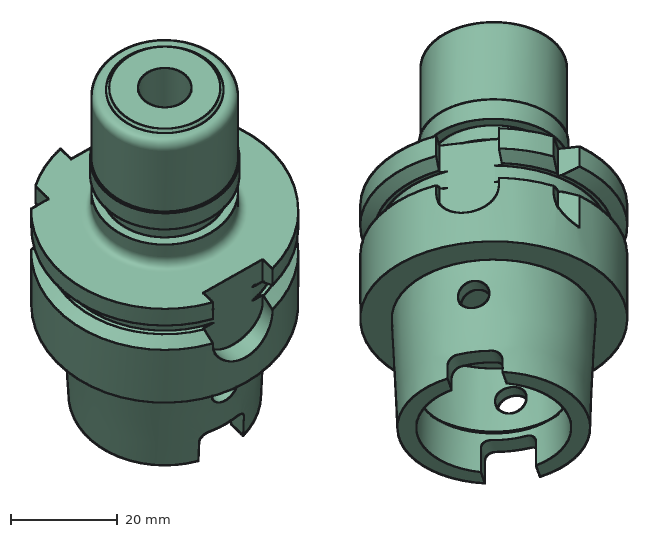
import cadquery as cq
import math

total_height = 85.0
shank_length = 25.0
flange_width = 26.0
flange_top = shank_length + flange_width
neck_fillet = 2.0
neck_bottom = 56.5
collar_bottom = 61.0
collar_top = 65.7
nut_shoulder = 84.4
nut_fillet = 2.0

shank_top_radius = 19.1
shank_end_radius = 18.05
flange_radius = 25.0
body_radius = 13.75
neck_radius = 11.9
collar_radius = 14.0
collet_base_radius = 11.0
collet_top_radius = 10.4

gripper_center = shank_length + 18.0
gripper_width = 3.75
gripper_radius = 21.5
gripper_lip_radius = 22.4
gripper_flank_angle = 30.0

tool_bore_diameter = 10.0
tool_bore_depth = 40.0
mouth_radius = 14.5
chamber_radius = 16.0
mouth_length = 9.0
chamber_top = shank_length

cross_hole_diameter = 6.0
cross_hole_height = 17.5

drive_floor = 21.0
left_slot_width = 12.0
right_slot_width = 14.0
drive_slot_bottom = 32.0
notch_corner = 15.5
notch_width = 12.0

keyway_width = 10.5
keyway_fillet = 2.0
left_keyway_height = 4.7
right_keyway_height = 7.5


def turned_body():
    """Outer shape revolved about Z."""
    half_gripper = gripper_width / 2
    flank_height = (flange_radius - gripper_lip_radius) * math.tan(math.radians(gripper_flank_angle))
    groove_low = gripper_center - half_gripper
    groove_high = gripper_center + half_gripper
    arc_offset = 1 - math.sqrt(0.5)
    neck_arc_radius = body_radius + neck_fillet * arc_offset
    neck_arc_height = flange_top + neck_fillet * arc_offset
    nut_arc_radius = body_radius - nut_fillet * arc_offset
    nut_arc_height = nut_shoulder - nut_fillet * arc_offset

    profile = (
        cq.Workplane("XZ")
        .moveTo(0, 0)
        .lineTo(shank_end_radius, 0)
        .lineTo(shank_top_radius, shank_length)
        .lineTo(flange_radius, shank_length)
        .lineTo(flange_radius, groove_low - flank_height)
        .lineTo(gripper_lip_radius, groove_low)
        .lineTo(gripper_radius, groove_low)
        .lineTo(gripper_radius, groove_high)
        .lineTo(gripper_lip_radius, groove_high)
        .lineTo(flange_radius, groove_high + flank_height)
        .lineTo(flange_radius, flange_top)
        .lineTo(body_radius + neck_fillet, flange_top)
        .threePointArc((neck_arc_radius, neck_arc_height), (body_radius, flange_top + neck_fillet))
        .lineTo(body_radius, neck_bottom)
        .lineTo(neck_radius, neck_bottom)
        .lineTo(neck_radius, collar_bottom)
        .lineTo(collar_radius, collar_bottom)
        .lineTo(collar_radius, collar_top - (collar_radius - body_radius))
        .lineTo(body_radius, collar_top)
        .lineTo(body_radius, nut_shoulder - nut_fillet)
        .threePointArc((nut_arc_radius, nut_arc_height), (body_radius - nut_fillet, nut_shoulder))
        .lineTo(collet_base_radius, nut_shoulder)
        .lineTo(collet_top_radius, total_height)
        .lineTo(0, total_height)
        .close()
    )
    return profile.revolve(360, (0, 0, 0), (0, 1, 0))


def shank_chamber():
    """Hollow of the shank: a narrower mouth opening by a 45 degree cone into the clamping chamber."""
    cone_height = chamber_radius - mouth_radius
    profile = (
        cq.Workplane("XZ")
        .moveTo(0, 0)
        .lineTo(mouth_radius, 0)
        .lineTo(mouth_radius, mouth_length)
        .lineTo(chamber_radius, mouth_length + cone_height)
        .lineTo(chamber_radius, chamber_top)
        .lineTo(0, chamber_top)
        .close()
    )
    return profile.revolve(360, (0, 0, 0), (0, 1, 0))


def tool_bore():
    """Blind bore for the tool shank, from the top."""
    return (
        cq.Workplane("XY", origin=(0, 0, total_height - tool_bore_depth))
        .circle(tool_bore_diameter / 2)
        .extrude(tool_bore_depth)
    )


def cross_hole():
    """Round hole along X through both shank walls."""
    return (
        cq.Workplane("YZ")
        .center(0, cross_hole_height)
        .circle(cross_hole_diameter / 2)
        .extrude(flange_radius, both=True)
    )


def round_bottom_slot(width, center_y, start_x, direction):
    """Slot open at the flange top with a half-round bottom, running out along X from start_x."""
    radius = width / 2
    arc_center = drive_slot_bottom + radius
    return (
        cq.Workplane("YZ", origin=(start_x, 0, 0))
        .moveTo(center_y - radius, flange_top)
        .lineTo(center_y - radius, arc_center)
        .threePointArc((center_y, drive_slot_bottom), (center_y + radius, arc_center))
        .lineTo(center_y + radius, flange_top)
        .close()
        .extrude(direction * flange_radius)
    )


def keyway(height, direction):
    """Open slot across one shank wall, rounded at its upper corners."""
    return (
        cq.Workplane("XY")
        .box(flange_radius, keyway_width, height, centered=(True, True, False))
        .edges("|X and >Z")
        .fillet(keyway_fillet)
        .translate((direction * flange_radius / 2, 0, 0))
    )


result = turned_body()
result = result.cut(shank_chamber())
result = result.cut(tool_bore())
result = result.cut(cross_hole())
result = result.cut(round_bottom_slot(left_slot_width, 0, -drive_floor, -1))
result = result.cut(round_bottom_slot(right_slot_width, 0, drive_floor, 1))
notch_center_y = -notch_corner - notch_width / 2
result = result.cut(round_bottom_slot(notch_width, notch_center_y, -notch_corner, -1))
result = result.cut(keyway(left_keyway_height, -1))
result = result.cut(keyway(right_keyway_height, 1))